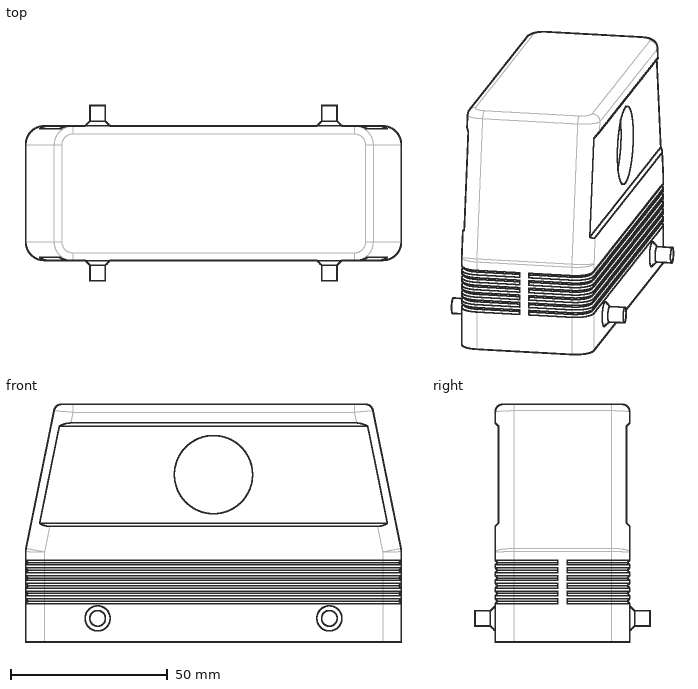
import cadquery as cq
import math

LENGTH = 120.0
WIDTH = 43.0
HEIGHT = 76.0
PEG_SPAN = 56.0

KINK_HEIGHT = 29.5
END_LEAN = 11.5
KINK_RADIUS = 5.0
CORNER_RADIUS = 6.0
TOP_RADIUS = 2.5

RECESS_DEPTH = 1.0
RECESS_BOTTOM = 37.0
RECESS_TOP = 70.0

GROOVE_COUNT = 6
GROOVE_PITCH = 2.46
GROOVE_DEPTH = 0.75
LOWEST_GROOVE_HEIGHT = 13.1
BRIDGE_WIDTH = 3.0

POCKET_DIAMETER = 25.0
POCKET_HEIGHT = 53.5
POCKET_DEPTH = 4.0

PEG_DIAMETER = 5.0
PEG_FOOT_DIAMETER = 8.0
PEG_SPACING = 74.0
PEG_HEIGHT = 7.6

HALF_LENGTH = LENGTH / 2
HALF_WIDTH = WIDTH / 2


def make_body():
    """Solid hood block with rounded corners and a rounded top rim."""
    top_half_length = HALF_LENGTH - (HEIGHT - KINK_HEIGHT) * math.tan(math.radians(END_LEAN))
    body = (
        cq.Workplane("XZ")
        .moveTo(-HALF_LENGTH, 0)
        .lineTo(HALF_LENGTH, 0)
        .lineTo(HALF_LENGTH, KINK_HEIGHT)
        .lineTo(top_half_length, HEIGHT)
        .lineTo(-top_half_length, HEIGHT)
        .lineTo(-HALF_LENGTH, KINK_HEIGHT)
        .close()
        .extrude(HALF_WIDTH, both=True)
    )
    body = body.edges("|Y").edges("not(<Z or >Z)").fillet(KINK_RADIUS)
    body = body.faces("<Y or >Y").edges("not(<Z or >Z)").fillet(CORNER_RADIUS)
    return body.faces(">Z").edges().fillet(TOP_RADIUS)


def make_side_recess(side):
    """Full-length shallow channel with 45 degree edges; side is -1 or 1 along Y."""
    floor = side * (HALF_WIDTH - RECESS_DEPTH)
    surface = side * HALF_WIDTH
    return (
        cq.Workplane("YZ")
        .moveTo(surface, RECESS_BOTTOM)
        .lineTo(floor, RECESS_BOTTOM + RECESS_DEPTH)
        .lineTo(floor, RECESS_TOP - RECESS_DEPTH)
        .lineTo(surface, RECESS_TOP)
        .close()
        .extrude(HALF_LENGTH, both=True)
    )


def make_groove(side, height):
    """Diamond bar bent around one long side, stopping short of the end bridges."""
    bend = CORNER_RADIUS * (1 - math.sqrt(0.5))
    start = side * BRIDGE_WIDTH / 2
    wall = side * HALF_WIDTH
    corner_x = HALF_LENGTH - CORNER_RADIUS
    corner_y = side * (HALF_WIDTH - CORNER_RADIUS)
    middle_x = HALF_LENGTH - bend
    middle_y = side * (HALF_WIDTH - bend)
    path = (
        cq.Workplane("XY", origin=(0, 0, height))
        .moveTo(-HALF_LENGTH, start)
        .lineTo(-HALF_LENGTH, corner_y)
        .threePointArc((-middle_x, middle_y), (-corner_x, wall))
        .lineTo(corner_x, wall)
        .threePointArc((middle_x, middle_y), (HALF_LENGTH, corner_y))
        .lineTo(HALF_LENGTH, start)
    )
    section = (
        cq.Workplane("XZ", origin=(-HALF_LENGTH, start, height))
        .polyline([(-GROOVE_DEPTH, 0), (0, GROOVE_DEPTH), (GROOVE_DEPTH, 0), (0, -GROOVE_DEPTH)])
        .close()
    )
    return section.sweep(path)


def make_pocket():
    """Blind round pocket, its depth measured from the recess floor."""
    bottom = -HALF_WIDTH + RECESS_DEPTH + POCKET_DEPTH
    return (
        cq.Workplane("XZ", origin=(0, bottom, POCKET_HEIGHT))
        .circle(POCKET_DIAMETER / 2)
        .extrude(HALF_WIDTH)
    )


def make_peg_bar(x):
    """Bar through the body that forms the two opposite pegs and their conical feet."""
    peg_radius = PEG_DIAMETER / 2
    foot_radius = PEG_FOOT_DIAMETER / 2
    foot_end = HALF_WIDTH + foot_radius - peg_radius
    return (
        cq.Workplane("XY", origin=(x, 0, PEG_HEIGHT))
        .moveTo(0, -PEG_SPAN / 2)
        .lineTo(peg_radius, -PEG_SPAN / 2)
        .lineTo(peg_radius, -foot_end)
        .lineTo(foot_radius, -HALF_WIDTH)
        .lineTo(foot_radius, HALF_WIDTH)
        .lineTo(peg_radius, foot_end)
        .lineTo(peg_radius, PEG_SPAN / 2)
        .lineTo(0, PEG_SPAN / 2)
        .close()
        .revolve(360, (0, 0, 0), (0, 1, 0))
    )


result = make_body()

for side in (-1, 1):
    result = result.cut(make_side_recess(side))
    for index in range(GROOVE_COUNT):
        groove_height = LOWEST_GROOVE_HEIGHT + index * GROOVE_PITCH
        result = result.cut(make_groove(side, groove_height))

result = result.cut(make_pocket())

for peg_x in (-PEG_SPACING / 2, PEG_SPACING / 2):
    result = result.union(make_peg_bar(peg_x))